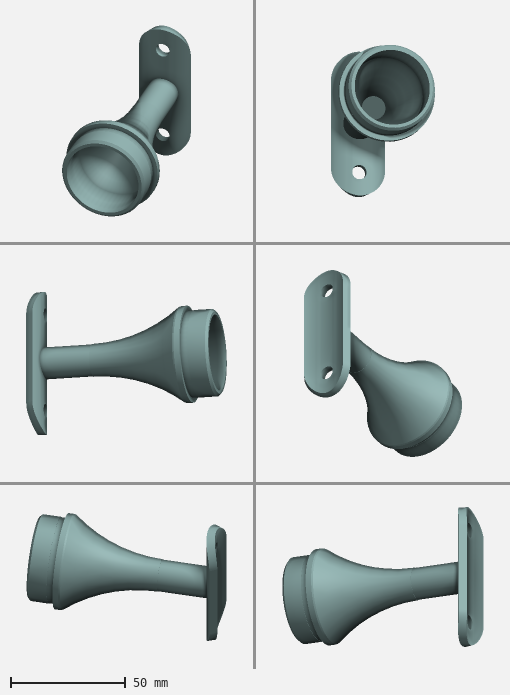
import cadquery as cq
import math

TOTAL_LENGTH = 83.1

PLATE_WIDTH = 23.9
PLATE_HEIGHT = 64.0
PLATE_END_CENTER_Z = (PLATE_HEIGHT - PLATE_WIDTH) / 2
END_STEPS = 16
PLATE_HALF_ANGLE = math.radians(30)
PLATE_OUTER_RADIUS = PLATE_WIDTH / 2 / math.sin(PLATE_HALF_ANGLE)
PLATE_THICKNESS = 3.65
PLATE_INNER_RADIUS = PLATE_OUTER_RADIUS - PLATE_THICKNESS
PLATE_AXIS_Y = TOTAL_LENGTH + PLATE_INNER_RADIUS * math.cos(PLATE_HALF_ANGLE)
SCREW_HOLE_DIAMETER = 6.3
SCREW_HOLE_SPACING = 43.2

STEM_RADIUS = 7.0
TENON_RADIUS = 5.0

JOINT_Y = 55.7
NECK_RADIUS = 7.15
WALL_THICKNESS = 3.0
FLARE_END_Y = 15.4
FLARE_END_RADIUS = 20.95
RIM_TOP_Y = 14.6
RIM_RADIUS = 21.2
RIM_BOTTOM_Y = 12.05
RELIEF_RADIUS = 18.95
RELIEF_END_Y = 9.1
SPIGOT_RADIUS = 19.1
SPIGOT_CHAMFER = 1.1
BORE_RADIUS = 16.6
CAVITY_FLOOR_RADIUS = 5.2

FLARE_LENGTH = JOINT_Y - FLARE_END_Y
FLARE_RISE = FLARE_END_RADIUS - NECK_RADIUS
FLARE_ARC_RADIUS = (FLARE_LENGTH**2 + FLARE_RISE**2) / (2 * FLARE_RISE)
FLARE_CENTER_X = NECK_RADIUS + FLARE_ARC_RADIUS
CAVITY_ARC_RADIUS = FLARE_ARC_RADIUS + WALL_THICKNESS


def arc_y(arc_radius, x):
    """Y of a flare arc at the distance x from the turning axis."""
    return JOINT_Y - math.sqrt(arc_radius**2 - (FLARE_CENTER_X - x) ** 2)


def arc_midpoint(arc_radius, start_x, end_x):
    """A point on a flare arc, halfway between two distances from the axis."""
    x = (start_x + end_x) / 2
    return (x, arc_y(arc_radius, x))


CAVITY_FLOOR_Y = arc_y(CAVITY_ARC_RADIUS, CAVITY_FLOOR_RADIUS)
BORE_END_Y = arc_y(CAVITY_ARC_RADIUS, BORE_RADIUS)


def turn(profile):
    """Revolve a closed XY profile about the Y axis."""
    return profile.close().revolve(360, (0, 0, 0), (0, 1, 0))


def cylinder_along_y(radius, start_y, end_y):
    return cq.Workplane("XZ", origin=(0, start_y, 0)).circle(radius).extrude(start_y - end_y)


def plate_tube_cylinder(radius):
    """Cylinder about the axis on which the plate is curved."""
    return (
        cq.Workplane("XY", origin=(0, PLATE_AXIS_Y, 0))
        .circle(radius)
        .extrude(PLATE_HEIGHT / 2, both=True)
    )


def plate_end_point(phi, distance):
    """Point of the rounded upper plate end, projected from the plate axis to a plane at a distance.

    The outer face appears as a semicircle along Y; phi runs from 0 to pi around it.
    """
    angle = math.asin(math.sin(PLATE_HALF_ANGLE) * math.cos(phi))
    return (distance * math.tan(angle), PLATE_END_CENTER_Z + PLATE_WIDTH / 2 * math.sin(phi))


def plate_outline(distance):
    """Closed plate outline on the XZ plane at a distance from the plate axis."""
    upper_end = [plate_end_point(math.pi * i / END_STEPS, distance) for i in range(END_STEPS + 1)]
    lower_end = [(-x, -z) for x, z in upper_end]
    return (
        cq.Workplane("XZ", origin=(0, PLATE_AXIS_Y - distance, 0))
        .moveTo(*upper_end[0])
        .spline(upper_end[1:], includeCurrent=True)
        .lineTo(*lower_end[0])
        .spline(lower_end[1:], includeCurrent=True)
        .close()
        .val()
    )


def make_plate():
    tube = plate_tube_cylinder(PLATE_OUTER_RADIUS).cut(plate_tube_cylinder(PLATE_INNER_RADIUS))
    wedge = cq.Solid.makeLoft(
        [plate_outline(PLATE_INNER_RADIUS / 2), plate_outline(PLATE_OUTER_RADIUS + PLATE_THICKNESS)],
        True,
    )
    screw_holes = (
        cq.Workplane("XZ", origin=(0, PLATE_AXIS_Y, 0))
        .rarray(0.8, SCREW_HOLE_SPACING, 1, 2)
        .circle(SCREW_HOLE_DIAMETER / 2)
        .extrude(PLATE_AXIS_Y)
    )
    return tube.intersect(cq.Workplane(wedge)).cut(screw_holes)


def make_stem():
    shaft = cylinder_along_y(STEM_RADIUS, JOINT_Y, TOTAL_LENGTH)
    seated_shaft = shaft.cut(plate_tube_cylinder(PLATE_OUTER_RADIUS))
    tenon = cylinder_along_y(TENON_RADIUS, CAVITY_FLOOR_Y, JOINT_Y)
    return seated_shaft.union(tenon)


def make_bell():
    profile = (
        cq.Workplane("XY")
        .moveTo(TENON_RADIUS, JOINT_Y)
        .lineTo(NECK_RADIUS, JOINT_Y)
        .threePointArc(
            arc_midpoint(FLARE_ARC_RADIUS, NECK_RADIUS, FLARE_END_RADIUS),
            (FLARE_END_RADIUS, FLARE_END_Y),
        )
        .lineTo(RIM_RADIUS, RIM_TOP_Y)
        .lineTo(RIM_RADIUS, RIM_BOTTOM_Y)
        .lineTo(RELIEF_RADIUS, RIM_BOTTOM_Y)
        .lineTo(RELIEF_RADIUS, RELIEF_END_Y)
        .lineTo(SPIGOT_RADIUS, RELIEF_END_Y)
        .lineTo(SPIGOT_RADIUS, SPIGOT_CHAMFER)
        .lineTo(SPIGOT_RADIUS - SPIGOT_CHAMFER, 0)
        .lineTo(BORE_RADIUS, 0)
        .lineTo(BORE_RADIUS, BORE_END_Y)
        .threePointArc(
            arc_midpoint(CAVITY_ARC_RADIUS, BORE_RADIUS, CAVITY_FLOOR_RADIUS),
            (CAVITY_FLOOR_RADIUS, CAVITY_FLOOR_Y),
        )
        .lineTo(TENON_RADIUS, CAVITY_FLOOR_Y)
    )
    return turn(profile)


plate = make_plate()
stem = make_stem()
bell = make_bell()

result = cq.Compound.makeCompound([plate.val(), stem.val(), bell.val()])